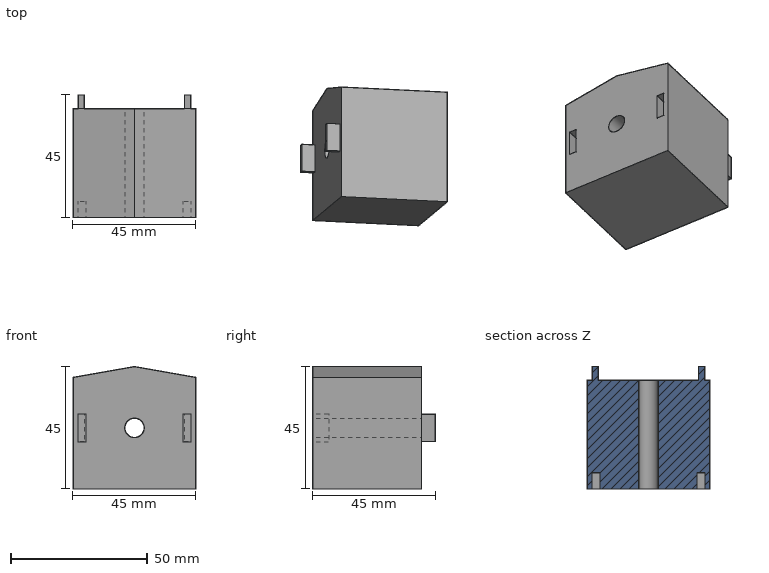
import cadquery as cq
import math

width = 45.0
overall_depth = 45.0
height = 45.0
tab_length = 5.0
body_depth = overall_depth - tab_length
roof_angle = 10.0
eave_height = height - width / 2 * math.tan(math.radians(roof_angle))

mid_height = height / 2
hole_diameter = 7.0
slot_width = 2.8
slot_height = 10.35
slot_depth = 6.0
slot_offset = 19.25
tab_width = 2.3
tab_height = 10.1
tab_offset = 19.5


def gabled_body():
    """Block with a shallow gabled roof whose ridge runs along Y."""
    return (
        cq.Workplane("XZ")
        .moveTo(-width / 2, 0)
        .lineTo(width / 2, 0)
        .lineTo(width / 2, eave_height)
        .lineTo(0, height)
        .lineTo(-width / 2, eave_height)
        .close()
        .extrude(-body_depth)
    )


def box_pair(offset, box_width, box_height, y_start, length):
    """Two boxes mirrored about the middle plane, running along +Y."""
    return (
        cq.Workplane("XZ", origin=(0, y_start, mid_height))
        .pushPoints([(-offset, 0), (offset, 0)])
        .rect(box_width, box_height)
        .extrude(-length)
    )


hole = (
    cq.Workplane("XZ", origin=(0, 0, mid_height))
    .circle(hole_diameter / 2)
    .extrude(-body_depth)
)

slots = box_pair(slot_offset, slot_width, slot_height, 0, slot_depth)
tabs = box_pair(tab_offset, tab_width, tab_height, body_depth, tab_length)

result = gabled_body().cut(hole).cut(slots).union(tabs)